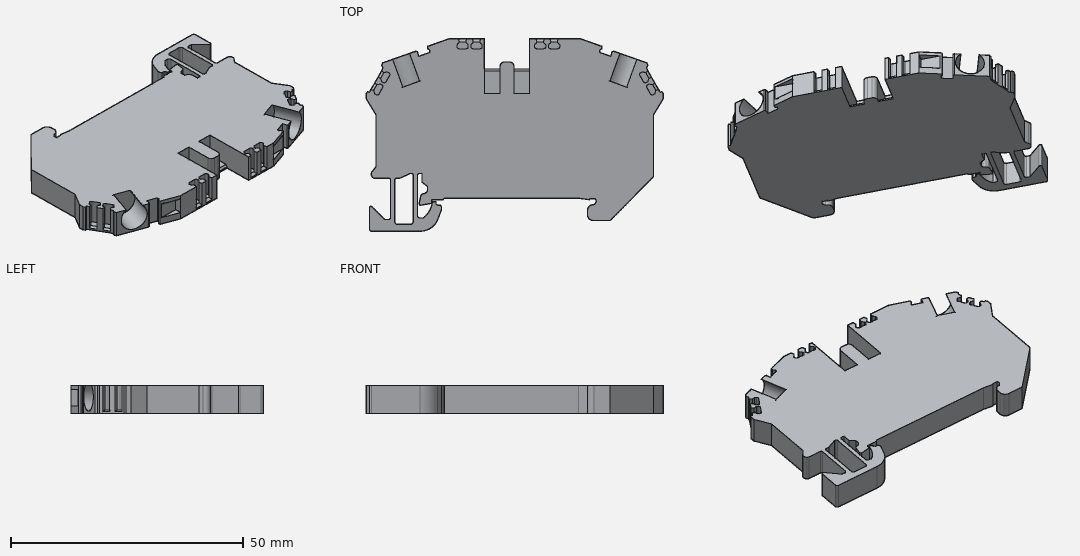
import cadquery as cq


length = 64.0
height = 41.5
thickness = 6.1
half_length = length / 2

flank_x = 29.9
flank_top_y = 25.1
rail_face_y = 7.1
recess_face_y = 6.8
housing_floor_y = 11.4

clip_left = -31.3
web_width = 0.95
outer_web_x = -26.75
inner_web_x = -21.9
web_top_y = 12.8
web_gap_top_y = 12.4
clip_window_floor_y = 1.55
clip_valley_y = 2.55
clip_trough_y = 2.9
window_corner_radius = 0.5
web_root_radius = 0.3
clip_nose_x = -17.8
clip_corner_radius = 0.5

bridge_left = -6.5
bridge_right = 3.15
bridge_floor_y = 29.7
post_width = 3.1
post_left = -3.2
post_top_y = 36.5
post_corner_radius = 1.0
ledge_top_y = 34.95
floor_z = 0.8
ledge_chamfer = 0.415
ledge_rise = 0.25

marker_pitch = 3.0
marker_width = 2.4
marker_depth = 2.2
marker_waist_width = 1.35
marker_waist_depth = 0.8
marker_shoulder_depth = 1.35
marker_corner_radius = 0.45
marker_mouth_width = 1.8
marker_mouth_z = 0.4
top_marker_centers = (-9.7, 7.0)
slant_marker_center = (29.95, 32.65)
slant_angle = 60.0

screw_diameter = 6.2
screw_depth = 6.35
screw_z = 3.65
screw_mouth = (24.45, 37.6)
screw_tilt = 20.0

shoulder_x = 14.15
shoulder_end = (18.8, 39.8)
step_height = 1.55
step_width = 3.5
step_z = 1.65


def prism(points, bottom=0.0, top=thickness):
    """Closed polygon in XY, extruded between two heights."""
    return cq.Workplane("XY", origin=(0, 0, bottom)).polyline(points).close().extrude(top - bottom)


def rectangle(left, right, low, high, bottom=0.0, top=thickness):
    return prism([(left, low), (right, low), (right, high), (left, high)], bottom, top)


crown = [
    (shoulder_x, height),
    shoulder_end,
    (18.75, 39.3),
    (18.3, 39.0),
    (18.3, 38.5),
    (20.7, 37.7),
    (20.9, 38.7),
    (21.3, 38.8),
    (28.4, 36.3),
    (28.7, 35.7),
    (28.4, 35.25),
    (28.6, 34.6),
    (31.3, 29.95),
    (31.7, 30.1),
    (half_length, 29.6),
    (half_length, 28.55),
    (flank_x, flank_top_y),
]


def make_housing():
    """Housing with its crown, rail foot and clip stop."""
    crown_left = [(-x, y) for x, y in crown]
    outline = cq.Workplane("XY").polyline(crown)
    outline = (
        outline.lineTo(flank_x, 11.8)
        .lineTo(20.55, 2.3)
        .lineTo(17.0, 2.3)
        .threePointArc((16.0, 2.7), (15.6, 3.7))
        .lineTo(15.6, 4.55)
        .threePointArc((15.95, 5.3), (16.9, 5.75))
        .threePointArc((17.5, 6.35), (17.35, recess_face_y + 0.2))
        .lineTo(16.2, recess_face_y + 0.2)
        .lineTo(16.05, recess_face_y)
        .lineTo(13.7, rail_face_y)
    )
    outline = (
        outline.lineTo(-15.2, rail_face_y)
        .lineTo(-15.4, recess_face_y)
        .lineTo(-17.85, recess_face_y)
        .lineTo(-17.85, 6.0)
        .lineTo(-20.4, 5.6)
        .lineTo(-20.6, 6.0)
        .lineTo(-20.2, 7.7)
        .threePointArc((-20.0, 8.0), (-19.65, 8.1))
        .threePointArc((-19.15, 8.3), (-18.8, 8.7))
        .lineTo(-18.8, 9.65)
        .lineTo(-20.0, 10.55)
        .lineTo(-20.0, web_gap_top_y)
    )
    outline = (
        outline.lineTo(-22.5, web_gap_top_y)
        .lineTo(-24.8, housing_floor_y)
        .lineTo(-30.1, housing_floor_y)
        .threePointArc((-30.85, 12.0), (-30.6, 13.0))
        .lineTo(-flank_x, 13.9)
        .polyline(crown_left[::-1], includeCurrent=True)
        .close()
    )
    return outline.extrude(thickness)


def make_clip():
    """Spring clip for the rail, hanging from the housing on two thin webs."""
    outer_web_right = outer_web_x + web_width
    inner_web_right = inner_web_x + web_width
    outline = (
        cq.Workplane("XY")
        .moveTo(clip_left, clip_corner_radius)
        .lineTo(clip_left, 5.1)
        .threePointArc((-31.1, 5.4), (-30.7, 5.3))
        .lineTo(-28.0, clip_valley_y)
        .lineTo(-27.2, clip_valley_y)
        .threePointArc((-26.9, 2.7), (outer_web_x, 2.95))
        .lineTo(outer_web_x, web_top_y)
        .lineTo(outer_web_right, web_top_y)
        .lineTo(outer_web_right, clip_window_floor_y)
        .lineTo(inner_web_x, clip_window_floor_y)
        .lineTo(inner_web_x, web_top_y)
        .lineTo(inner_web_right, web_top_y)
        .lineTo(inner_web_right, 3.4)
        .threePointArc((-20.75, 3.0), (-20.4, clip_trough_y))
        .lineTo(-19.7, clip_trough_y)
        .threePointArc((-18.3, 4.55), (clip_nose_x, 6.1))
        .lineTo(clip_nose_x, 6.4)
        .lineTo(-16.95, 6.4)
        .lineTo(-16.9, 5.9)
        .lineTo(-16.6, 5.6)
        .lineTo(-16.0, 5.6)
        .threePointArc((-15.75, 5.2), (-15.75, 4.7))
        .lineTo(-16.65, 2.3)
        .threePointArc((-18.05, 0.7), (-20.4, 0))
        .lineTo(clip_left + clip_corner_radius, 0)
        .radiusArc((clip_left, clip_corner_radius), clip_corner_radius)
        .close()
    )
    return outline.extrude(thickness)


def round_corners(solid, corners, radius):
    """Fillet the vertical edges that pass through the given XY points."""
    for x, y in corners:
        nearest = cq.selectors.NearestToPointSelector((x, y, thickness / 2))
        solid = solid.edges("|Z").edges(nearest).fillet(radius)
    return solid


def make_bridge_cut():
    """Opening in the top edge, leaving a post and a thin ledge."""
    opening = rectangle(bridge_left, bridge_right, bridge_floor_y, height)
    ledge = (
        cq.Workplane("YZ", origin=(bridge_left, 0, 0))
        .polyline(
            [
                (bridge_floor_y, 0),
                (ledge_top_y, 0),
                (ledge_top_y, floor_z - ledge_chamfer),
                (ledge_top_y - ledge_chamfer, floor_z),
                (bridge_floor_y, floor_z + ledge_rise),
            ]
        )
        .close()
        .extrude(bridge_right - bridge_left)
    )
    post = rectangle(post_left, post_left + post_width, bridge_floor_y, post_top_y)
    post = post.faces(">Y").edges("|Z").fillet(post_corner_radius)
    return opening.cut(ledge).cut(post)


def make_marker_pocket():
    """Pocket opening toward +Y at the origin, with a bevelled mouth."""
    waist = marker_waist_width / 2
    mouth = marker_mouth_width / 2
    wide = marker_width / 2
    chamber = prism(
        [
            (-waist, -marker_waist_depth),
            (-wide, -marker_shoulder_depth),
            (-wide, -marker_depth),
            (wide, -marker_depth),
            (wide, -marker_shoulder_depth),
            (waist, -marker_waist_depth),
        ],
        floor_z,
    )
    chamber = chamber.faces("<Y").edges("|Z").fillet(marker_corner_radius)
    mouth_plan = prism(
        [
            (-mouth, 0),
            (-waist, -marker_waist_depth),
            (waist, -marker_waist_depth),
            (mouth, 0),
        ]
    )
    mouth_side = (
        cq.Workplane("YZ")
        .polyline(
            [
                (0, marker_mouth_z),
                (-marker_waist_depth, floor_z),
                (-marker_waist_depth, thickness),
                (0, thickness),
            ]
        )
        .close()
        .extrude(mouth, both=True)
    )
    return chamber.union(mouth_plan.intersect(mouth_side))


def make_marker_pair():
    pocket = make_marker_pocket()
    offset = marker_pitch / 2
    return pocket.translate((-offset, 0, 0)).union(pocket.translate((offset, 0, 0)))


def make_screw_hole():
    """Flat-bottomed screw channel in the right shoulder, breaking through the top face."""
    clearance = 0.3
    hole = (
        cq.Workplane("XZ", origin=(0, clearance, screw_z))
        .circle(screw_diameter / 2)
        .extrude(screw_depth + clearance)
    )
    return hole.rotate((0, 0, 0), (0, 0, 1), -screw_tilt).translate((*screw_mouth, 0))


def make_shoulder_step():
    """Square recess cut into the sloping right shoulder."""
    return rectangle(
        shoulder_x, shoulder_end[0], height - step_height, height, step_z, step_z + step_width
    )


result = make_housing().union(make_clip())
window_left = outer_web_x + web_width
window_bottom = [(window_left, clip_window_floor_y), (inner_web_x, clip_window_floor_y)]
web_roots = [
    (outer_web_x, housing_floor_y),
    (window_left, housing_floor_y),
    (inner_web_x, web_gap_top_y),
    (inner_web_x + web_width, web_gap_top_y),
]
result = round_corners(result, window_bottom, window_corner_radius)
result = round_corners(result, web_roots, web_root_radius)
result = result.cut(make_bridge_cut())

marker_pair = make_marker_pair()
for center_x in top_marker_centers:
    result = result.cut(marker_pair.translate((center_x, height, 0)))

slant_pair = marker_pair.rotate((0, 0, 0), (0, 0, 1), -slant_angle)
slant_pair = slant_pair.translate((*slant_marker_center, 0))
for cutter in (slant_pair, make_screw_hole(), make_shoulder_step()):
    result = result.cut(cutter).cut(cutter.mirror("YZ"))